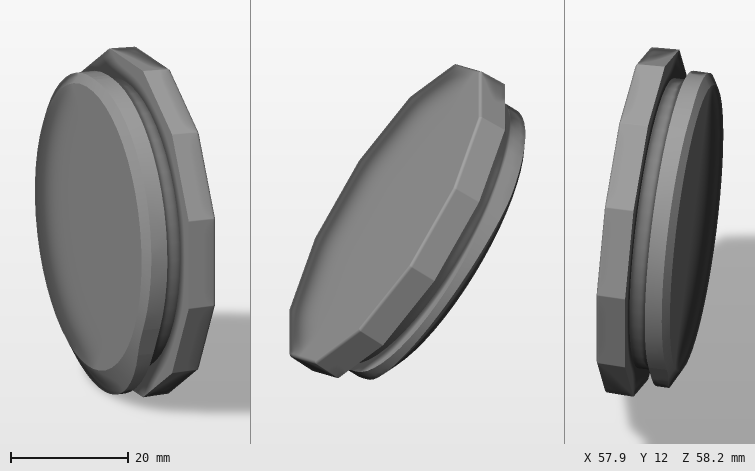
import cadquery as cq
import math

OVERALL_HEIGHT = 58.2
HEAD_ACROSS_FLATS = 57.9
HEAD_SIDES = 12
HEAD_THICKNESS = 5.05
HEAD_DRAFT_ANGLE = 2.0
HEAD_CORNER_FILLET = 0.35
HEAD_BACK_FILLET = 0.5
NECK_DIAMETER = 50.0
NECK_LENGTH = 2.95
FLANGE_THICKNESS = 4.0
FACE_DIAMETER = 49.4
BEVEL_ANGLE = 30.0

TOP_FLAT_WIDTH = 1.5
UPPER_ARC_RADIUS = 25.8
UPPER_ARC_CENTRE_Z = 0.45
FLANGE_BOTTOM_Z = HEAD_ACROSS_FLATS / 2 - OVERALL_HEIGHT
SIDE_LINE_ANGLE = 30.0

FRONT_FACE_Y = 0.0
FLANGE_BACK_Y = FRONT_FACE_Y + FLANGE_THICKNESS
HEAD_FRONT_Y = FLANGE_BACK_Y + NECK_LENGTH


def plane_at(y):
    """Plane across the axis at y, with local X along +X, local Y along +Z and its normal toward -Y."""
    return cq.Workplane("XZ", origin=(0, y, 0))


def make_head():
    """Drafted twelve-sided grip with rounded corners and a rounded back edge."""
    corner_diameter = HEAD_ACROSS_FLATS / math.cos(math.pi / HEAD_SIDES)
    half_side_angle = 180 / HEAD_SIDES
    head = (
        plane_at(HEAD_FRONT_Y)
        .transformed(rotate=(0, 0, half_side_angle))
        .polygon(HEAD_SIDES, corner_diameter)
        .extrude(-HEAD_THICKNESS, taper=HEAD_DRAFT_ANGLE)
    )
    head = head.edges("not(#Y)").fillet(HEAD_CORNER_FILLET)
    return head.faces(">Y").edges().fillet(HEAD_BACK_FILLET)


def make_neck():
    """Round neck between the flange and the head."""
    return plane_at(HEAD_FRONT_Y).circle(NECK_DIAMETER / 2).extrude(NECK_LENGTH)


def flange_outline():
    """Egg-shaped outline: top flat, two upper arcs, straight tangent sides and one lower arc."""
    angle = math.radians(SIDE_LINE_ANGLE)
    normal_x = math.cos(angle)
    normal_z = -math.sin(angle)
    half_flat = TOP_FLAT_WIDTH / 2
    top_z = UPPER_ARC_CENTRE_Z + UPPER_ARC_RADIUS

    line_distance = UPPER_ARC_RADIUS + half_flat * normal_x + UPPER_ARC_CENTRE_Z * normal_z
    lower_radius = (line_distance - FLANGE_BOTTOM_Z * normal_z) / (1 + normal_z)
    lower_centre_z = FLANGE_BOTTOM_Z + lower_radius

    line_top_x = half_flat + UPPER_ARC_RADIUS * normal_x
    line_top_z = UPPER_ARC_CENTRE_Z + UPPER_ARC_RADIUS * normal_z
    line_bottom_x = lower_radius * normal_x
    line_bottom_z = lower_centre_z + lower_radius * normal_z
    arc_middle_x = half_flat + UPPER_ARC_RADIUS
    return (
        plane_at(FLANGE_BACK_Y)
        .moveTo(-half_flat, top_z)
        .lineTo(half_flat, top_z)
        .threePointArc((arc_middle_x, UPPER_ARC_CENTRE_Z), (line_top_x, line_top_z))
        .lineTo(line_bottom_x, line_bottom_z)
        .threePointArc((0, FLANGE_BOTTOM_Z), (-line_bottom_x, line_bottom_z))
        .lineTo(-line_top_x, line_top_z)
        .threePointArc((-arc_middle_x, UPPER_ARC_CENTRE_Z), (-half_flat, top_z))
        .close()
    )


def make_flange():
    """Flange whose front edge is cut by a cone around the flat round face."""
    face_radius = FACE_DIAMETER / 2
    cone_base_radius = face_radius + FLANGE_THICKNESS / math.tan(math.radians(BEVEL_ANGLE))
    bevel_cone = (
        cq.Workplane("XY")
        .moveTo(0, FRONT_FACE_Y)
        .lineTo(face_radius, FRONT_FACE_Y)
        .lineTo(cone_base_radius, FLANGE_BACK_Y)
        .lineTo(0, FLANGE_BACK_Y)
        .close()
        .revolve(360, (0, 0, 0), (0, 1, 0))
    )
    return flange_outline().extrude(FLANGE_THICKNESS).intersect(bevel_cone)


result = make_head().union(make_neck()).union(make_flange())